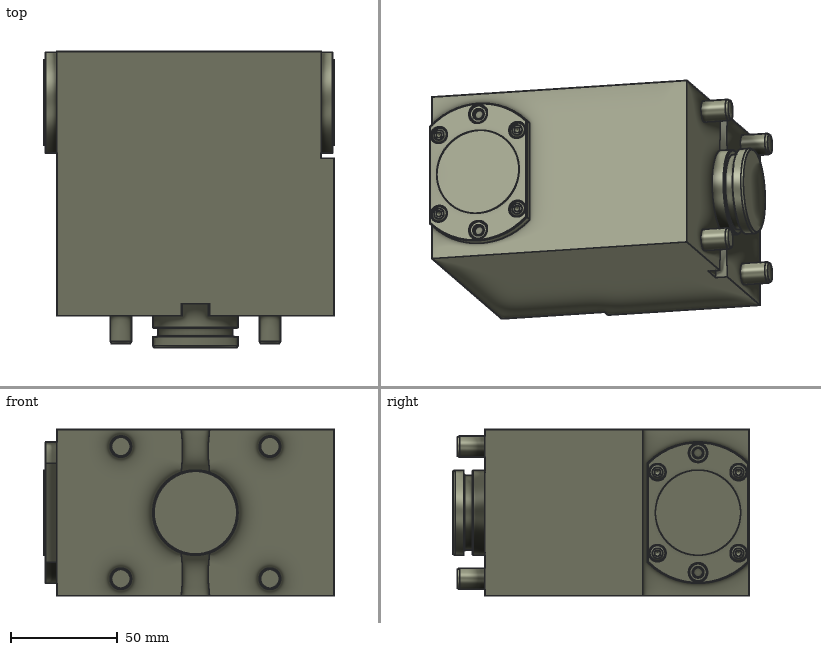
import cadquery as cq
import math

body_half_width = 65.0
body_depth = 124.0
body_height = 78.0
front_y = -body_depth

recess_depth = 6.0
recess_length = 50.0

cover_axis_y = -24.0
cover_diameter = 66.4
cover_width = 47.4
cover_thickness = 5.5
cover_chamfer = 0.4
cap_diameter = 40.0
cap_height = 0.5

cap_screw_radius = 28.0
cap_screw_counterbore_diameter = 9.0
cap_screw_counterbore_depth = 3.0
cap_screw_head_diameter = 8.01
cap_screw_head_sink = 0.5
cap_screw_socket_mouth_diameter = 5.3
cap_screw_socket_mouth_depth = 0.5
cap_screw_socket_diameter = 4.35
cap_screw_socket_depth = 2.0

plug_offset = 19.0
plug_rim_diameter = 8.01
plug_rim_depth = 0.4
plug_base_diameter = 7.15
plug_base_depth = 0.9
plug_top_diameter = 4.8
plug_center_diameter = 2.8
plug_center_depth = 1.2

shaft_diameter = 40.0
shaft_length = 15.0
shaft_groove_diameter = 35.2
shaft_groove_start = 5.8
shaft_groove_width = 4.0
shaft_groove_chamfer = 0.5
shaft_chamfer_length = 1.1
shaft_chamfer_depth = 0.6

pin_diameter = 10.0
pin_length = 13.0
pin_spacing_x = 69.9
pin_spacing_z = 62.0
pin_chamfer_length = 1.2
pin_tip_diameter = 8.8

slot_end_width = 13.3
slot_mid_width = 12.0
slot_depth = 5.6


def make_body():
    body = cq.Workplane("XY").box(
        2 * body_half_width, body_depth, body_height, centered=(True, False, True)
    )
    body = body.translate((0, front_y, 0))
    recess = cq.Workplane("XY").box(
        recess_depth, recess_length, body_height, centered=(False, False, True)
    )
    return body.cut(recess.translate((body_half_width - recess_depth, -recess_length, 0)))


def make_slot():
    """Both slot sides bulge inwards between the shaft and the housing edge."""
    slot = None
    inner_z = math.sqrt(shaft_diameter ** 2 - slot_end_width ** 2) / 2
    outer_z = body_height / 2
    mid_z = (inner_z + outer_z) / 2
    plane = cq.Plane(origin=(0, front_y, 0), xDir=(1, 0, 0), normal=(0, -1, 0))
    end_x = slot_end_width / 2
    mid_x = slot_mid_width / 2
    for side in (1, -1):
        half = (
            cq.Workplane(plane)
            .moveTo(-end_x, 0)
            .lineTo(-end_x, side * inner_z)
            .threePointArc((-mid_x, side * mid_z), (-end_x, side * outer_z))
            .lineTo(end_x, side * outer_z)
            .threePointArc((mid_x, side * mid_z), (end_x, side * inner_z))
            .lineTo(end_x, 0)
            .close()
            .extrude(-slot_depth)
        )
        slot = half if slot is None else slot.union(half)
    return slot


def make_shaft():
    """Shaft end revolved about the Y axis, with a groove near its tip."""
    radius = shaft_diameter / 2
    groove_radius = shaft_groove_diameter / 2
    groove_start_y = front_y - shaft_groove_start
    groove_end_y = groove_start_y - shaft_groove_width
    tip_y = front_y - shaft_length
    root_y = front_y + slot_depth
    profile = [
        (0, root_y),
        (radius, root_y),
        (radius, groove_start_y + shaft_groove_chamfer),
        (radius - shaft_groove_chamfer, groove_start_y),
        (groove_radius, groove_start_y),
        (groove_radius, groove_end_y + shaft_groove_chamfer),
        (groove_radius + shaft_groove_chamfer, groove_end_y),
        (radius, groove_end_y),
        (radius, tip_y + shaft_chamfer_length),
        (radius - shaft_chamfer_depth, tip_y),
        (0, tip_y),
    ]
    return cq.Workplane("XY").polyline(profile).close().revolve(360, (0, 0, 0), (0, 1, 0))


def make_pin(x, z):
    """Locating pin on the front face with a tapered tip."""
    radius = pin_diameter / 2
    profile = [
        (0, 0),
        (radius, 0),
        (radius, pin_chamfer_length - pin_length),
        (pin_tip_diameter / 2, -pin_length),
        (0, -pin_length),
    ]
    pin = cq.Workplane("XY").polyline(profile).close().revolve(360, (0, 0, 0), (0, 1, 0))
    return pin.translate((x, front_y, z))


def cut_cap_screw(cover, face, z):
    """Annular counterbore around a sunk screw head with a stepped socket."""
    center = face.center(0, z)
    sunk = center.workplane(offset=-cap_screw_head_sink)
    bottom = center.workplane(offset=-cap_screw_counterbore_depth)
    head_height = cap_screw_counterbore_depth - cap_screw_head_sink
    cover = cover.cut(center.circle(cap_screw_counterbore_diameter / 2).extrude(-cap_screw_counterbore_depth))
    cover = cover.union(bottom.circle(cap_screw_head_diameter / 2).extrude(head_height))
    cover = cover.cut(sunk.circle(cap_screw_socket_mouth_diameter / 2).extrude(-cap_screw_socket_mouth_depth))
    return cover.cut(sunk.circle(cap_screw_socket_diameter / 2).extrude(-cap_screw_socket_depth))


def plug_cutter(face, y, z):
    """Countersunk ring groove that leaves a conical plug with a conical centre."""
    ring = [
        (plug_top_diameter / 2, 0),
        (plug_base_diameter / 2, -plug_base_depth),
        (plug_base_diameter / 2, -plug_rim_depth),
        (plug_rim_diameter / 2, 0),
    ]
    recess = [
        (0, 0),
        (plug_center_diameter / 2, 0),
        (0, -plug_center_depth),
    ]
    origin = face.plane.toWorldCoords((y, z, 0))
    across = face.plane.xDir
    outward = face.plane.zDir
    section = cq.Workplane(cq.Plane(origin=origin, xDir=across, normal=across.cross(outward)))
    groove = section.polyline(ring).close().revolve(360, (0, 0, 0), (0, 1, 0))
    return groove.union(section.polyline(recess).close().revolve(360, (0, 0, 0), (0, 1, 0)))


def make_cover(seat_x, direction):
    """Bearing cover on the face X = seat_x, facing along direction (+1 or -1)."""
    plane = cq.Plane(origin=(seat_x, cover_axis_y, 0), xDir=(0, 1, 0), normal=(direction, 0, 0))
    base = cq.Workplane(plane)
    face = base.workplane(offset=cover_thickness)
    flats = base.rect(cover_width, cover_diameter).extrude(cover_thickness)
    cover = base.circle(cover_diameter / 2).extrude(cover_thickness).intersect(flats)
    cover = cover.faces(">X" if direction > 0 else "<X").chamfer(cover_chamfer)
    cover = cover.union(face.circle(cap_diameter / 2).extrude(cap_height))

    for side in (-1, 1):
        cover = cut_cap_screw(cover, face, side * cap_screw_radius)
    for side_y in (-1, 1):
        for side_z in (-1, 1):
            cover = cover.cut(plug_cutter(face, side_y * plug_offset, side_z * plug_offset))
    return cover


result = make_body().cut(make_slot()).union(make_shaft())
for pin_x in (-pin_spacing_x / 2, pin_spacing_x / 2):
    for pin_z in (-pin_spacing_z / 2, pin_spacing_z / 2):
        result = result.union(make_pin(pin_x, pin_z))
result = result.union(make_cover(-body_half_width, -1))
result = result.union(make_cover(body_half_width - recess_depth, 1))